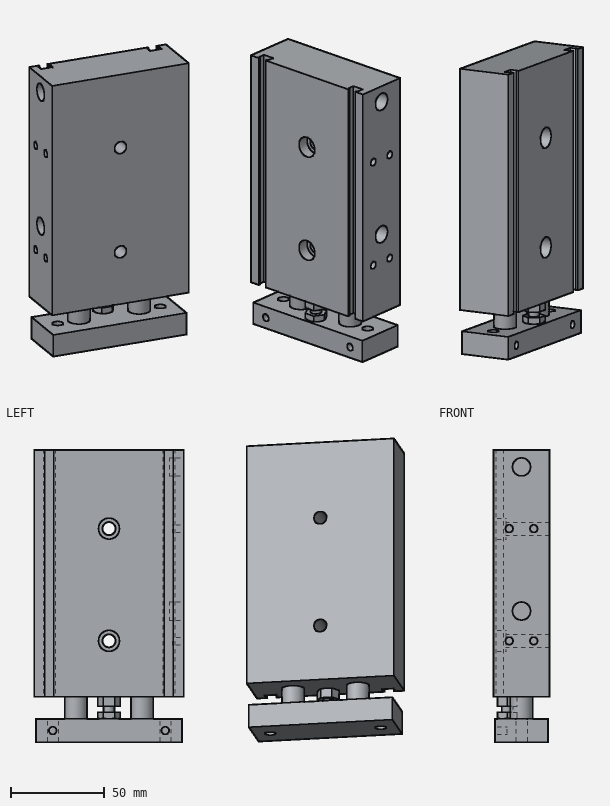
import cadquery as cq
import math

total_height = 156.0
plate_height = 12.5
rod_gap = 11.7
housing_depth = 30.0
housing_width = 80.0
housing_bottom = plate_height + rod_gap
housing_height = total_height - housing_bottom
housing_front = -housing_depth / 2

slot_offset = housing_width / 2 - 8.1
slot_mouth_width = 5.0
slot_inner_width = 6.5
slot_lip = 1.2
slot_depth = 5.1

mount_hole_diameter = 6.9
counterbore_diameter = 11.2
counterbore_depth = 6.5
upper_hole_height = total_height - 42.0
hole_row_spacing = 59.9
hole_row_heights = [upper_hole_height, upper_hole_height - hole_row_spacing]
port_diameter = 9.7
port_depth = 7.8
port_heights = [total_height - 9.0, total_height - 86.0]
small_hole_diameter = 4.0
small_hole_depth = 6.2
small_hole_spacing = 13.1

plate_depth = 28.4
plate_width = 78.0
plate_front = -plate_depth / 2
rod_diameter = 12.0
rod_spacing = 35.3
plate_hole_spacing = 60.0
plate_screw_diameter = 6.0

bolt_x = -7.6
bolt_diameter = 6.0
hex_across_corners = 12.0
hex_across_flats = hex_across_corners * math.sqrt(3) / 2
head_height = 3.6
nut_height = 5.0


def cylinder(start, direction, diameter, length):
    """Solid cylinder that begins at start and runs along direction."""
    solid = cq.Solid.makeCylinder(diameter / 2, length, cq.Vector(*start), cq.Vector(*direction))
    return cq.Workplane(obj=solid)


def slot_cutter(center_y):
    """T-shaped channel that runs the full height of the housing."""
    mouth = cq.Workplane().box(slot_depth, slot_mouth_width, housing_height, centered=(False, True, False))
    chamber = (
        cq.Workplane()
        .box(slot_depth - slot_lip, slot_inner_width, housing_height, centered=(False, True, False))
        .translate((slot_lip, 0, 0))
    )
    return mouth.union(chamber).translate((housing_front, center_y, housing_bottom))


def make_housing():
    body = (
        cq.Workplane()
        .box(housing_depth, housing_width, housing_height, centered=(True, True, False))
        .translate((0, 0, housing_bottom))
    )
    for center_y in (-slot_offset, slot_offset):
        body = body.cut(slot_cutter(center_y))

    side_y = -housing_width / 2
    for z in hole_row_heights:
        face_point = (housing_front, 0, z)
        body = body.cut(cylinder(face_point, (1, 0, 0), mount_hole_diameter, housing_depth))
        body = body.cut(cylinder(face_point, (1, 0, 0), counterbore_diameter, counterbore_depth))
        for x in (-small_hole_spacing / 2, small_hole_spacing / 2):
            body = body.cut(cylinder((x, side_y, z), (0, 1, 0), small_hole_diameter, small_hole_depth))

    for z in port_heights:
        body = body.cut(cylinder((0, side_y, z), (0, 1, 0), port_diameter, port_depth))
    return body


def make_plate():
    """Tool plate joined to the two guide rods that reach up to the housing."""
    plate = cq.Workplane().box(plate_depth, plate_width, plate_height, centered=(True, True, False))
    for side in (-1, 1):
        rod_start = (0, side * rod_spacing / 2, 0)
        plate = plate.union(cylinder(rod_start, (0, 0, 1), rod_diameter, housing_bottom))

        hole_y = side * plate_hole_spacing / 2
        plate = plate.cut(cylinder((0, hole_y, 0), (0, 0, 1), plate_screw_diameter, plate_height))
        cross_start = (plate_front, hole_y, plate_height / 2)
        plate = plate.cut(cylinder(cross_start, (1, 0, 0), small_hole_diameter, small_hole_depth))
    return plate


def hexagon(height):
    """Hexagonal prism with two corners on the Y axis."""
    return cq.Workplane().polygon(6, hex_across_corners).extrude(height).rotate((0, 0, 0), (0, 0, 1), 90)


def make_stop_bolt():
    trim_cone = cq.Workplane(
        obj=cq.Solid.makeCone(
            hex_across_flats / 2, hex_across_flats / 2 + head_height * math.sqrt(3), head_height
        )
    )
    head = hexagon(head_height).intersect(trim_cone)
    shank = cylinder((0, 0, 0), (0, 0, 1), bolt_diameter, rod_gap)
    nut = hexagon(nut_height).translate((0, 0, rod_gap - nut_height))
    return head.union(shank).union(nut).translate((bolt_x, 0, plate_height))


housing = make_housing()
plate = make_plate()
stop_bolt = make_stop_bolt()

result = cq.Compound.makeCompound([housing.val(), plate.val(), stop_bolt.val()])